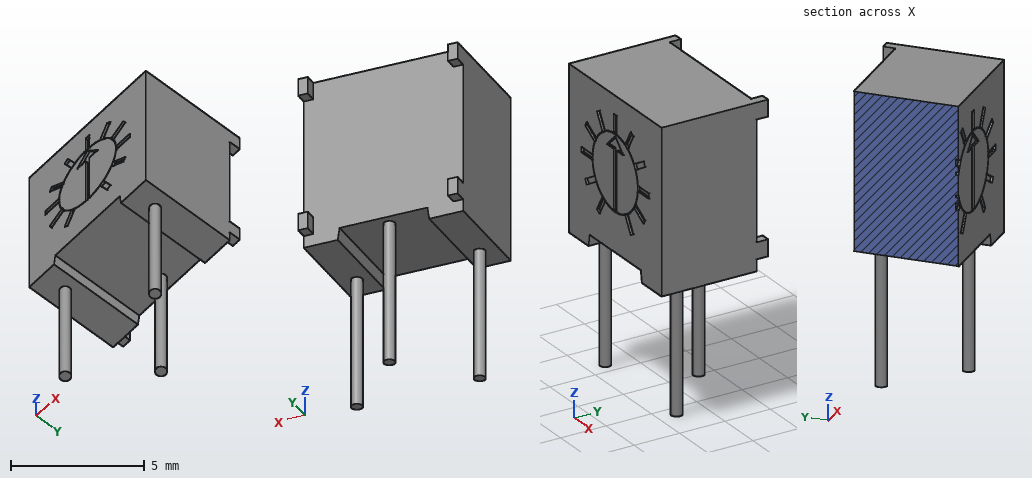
import cadquery as cq

total_height = 12.46
body_width = 6.6
total_depth = 4.7
foot_depth = 0.5
body_depth = total_depth - foot_depth
body_height = 7.0
body_bottom = total_height - body_height

foot_width = 0.4
foot_height = 0.71
lower_foot_gap = 0.5

channel_height = 0.5
channel_top_width = 3.64
channel_mouth_width = 3.79

pin_diameter = 0.46
pin_pitch = 2.54
front_pin_y = 1.13
rear_pin_y = front_pin_y + pin_pitch
pin_embed = 0.25

dial_z = 9.26
dial_diameter = 3.2
dial_hole_diameter = 3.25
engraving_depth = 0.1
mark_width = 0.22
tick_outer_radius = 2.4
tick_step_degrees = 30
tick_limit_degrees = 150
arrow_tip_height = 1.52
arrow_head_base = 0.96
arrow_head_width = 1.17


def make_body():
    return cq.Workplane("XY").box(
        body_width, body_depth, body_height, centered=(True, False, False)
    ).translate((0, 0, body_bottom))


def make_channel():
    half_mouth = channel_mouth_width / 2
    half_top = channel_top_width / 2
    channel_top = body_bottom + channel_height
    return (
        cq.Workplane("XZ")
        .moveTo(-half_mouth, body_bottom)
        .lineTo(half_mouth, body_bottom)
        .lineTo(half_top, channel_top)
        .lineTo(-half_top, channel_top)
        .close()
        .extrude(-body_depth)
    )


def make_feet():
    foot_x = (body_width - foot_width) / 2
    foot_y = body_depth + foot_depth / 2
    lower_z = body_bottom + lower_foot_gap + foot_height / 2
    upper_z = total_height - foot_height / 2
    foot = cq.Workplane("XY").box(foot_width, foot_depth, foot_height)
    feet = cq.Workplane("XY")
    for x in (-foot_x, foot_x):
        for z in (lower_z, upper_z):
            feet = feet.add(foot.translate((x, foot_y, z)))
    return feet.combine()


def make_pin(x, y):
    pin_length = body_bottom + channel_height + pin_embed
    return cq.Workplane("XY").center(x, y).circle(pin_diameter / 2).extrude(pin_length)


def dial_plane():
    """Workplane on the front face, centred on the dial; negative extrusion goes into the body."""
    return cq.Workplane("XZ").center(0, dial_z)


def make_dial_gap():
    return dial_plane().circle(dial_hole_diameter / 2).circle(dial_diameter / 2).extrude(-engraving_depth)


def make_tick(angle):
    inner_radius = dial_diameter / 2
    length = tick_outer_radius - inner_radius
    tick = dial_plane().center(0, inner_radius + length / 2).rect(mark_width, length).extrude(-engraving_depth)
    return tick.rotate((0, 0, dial_z), (0, 1, dial_z), angle)


def make_arrow():
    half_shaft = mark_width / 2
    half_head = arrow_head_width / 2
    shaft_bottom = -dial_diameter / 2
    return (
        dial_plane()
        .moveTo(-half_shaft, shaft_bottom)
        .lineTo(half_shaft, shaft_bottom)
        .lineTo(half_shaft, arrow_head_base)
        .lineTo(half_head, arrow_head_base)
        .lineTo(0, arrow_tip_height)
        .lineTo(-half_head, arrow_head_base)
        .lineTo(-half_shaft, arrow_head_base)
        .close()
        .extrude(-engraving_depth)
    )


result = make_body().cut(make_channel()).union(make_feet())

for pin_x, pin_y in ((-pin_pitch, front_pin_y), (0, rear_pin_y), (pin_pitch, front_pin_y)):
    result = result.union(make_pin(pin_x, pin_y))

result = result.cut(make_dial_gap()).cut(make_arrow())

for tick_angle in range(-tick_limit_degrees, tick_limit_degrees + 1, tick_step_degrees):
    result = result.cut(make_tick(tick_angle))